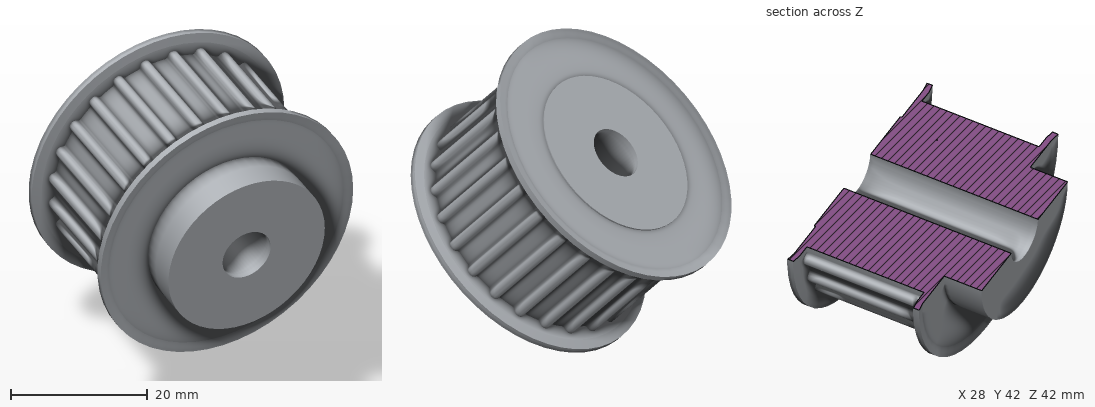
import cadquery as cq
import math


total_length = 28.0
rim_length = 22.0
flange_thickness = 1.0
flange_dish = 0.25

flange_radius = 21.0
flange_flat_radius = 19.5
hub_radius = 13.0
bore_radius = 4.0

tooth_count = 24
tip_diameter = 36.95
tip_radius = tip_diameter / 2
tooth_depth = 1.1
root_radius = tip_radius - tooth_depth
groove_root_width = 2.64
groove_flank_angle = math.radians(25)
root_fillet = 0.4
tip_fillet = 0.7
cutter_clearance = 0.5


def cylinder(radius, start, end):
    """Solid cylinder about X from x = start to x = end."""
    return cq.Workplane("YZ", origin=(start, 0, 0)).circle(radius).extrude(end - start)


def groove_cutter(start, end):
    """Trapezoidal groove on the +Y side, with the root circle as its curved floor."""
    half_root = groove_root_width / 2
    root_y = math.sqrt(root_radius**2 - half_root**2)
    outer_y = tip_radius + cutter_clearance
    half_outer = half_root + (outer_y - root_y) * math.tan(groove_flank_angle)
    return (
        cq.Workplane("YZ", origin=(start, 0, 0))
        .moveTo(root_y, -half_root)
        .threePointArc((root_radius, 0), (root_y, half_root))
        .lineTo(outer_y, half_outer)
        .lineTo(outer_y, -half_outer)
        .close()
        .extrude(end - start)
    )


def distance_from_axis(edge):
    """Radial distance of an edge parallel to X from the pulley axis."""
    middle = edge.Center()
    return math.hypot(middle.y, middle.z)


def toothed_rim(start, end):
    """Cylinder with evenly spaced grooves, rounded at the groove corners and tooth tips."""
    rim = cylinder(tip_radius, start, end)
    cutter = groove_cutter(start, end)
    for index in range(tooth_count):
        angle = index * 360 / tooth_count
        rim = rim.cut(cutter.rotate((0, 0, 0), (1, 0, 0), angle))
    middle_radius = (tip_radius + root_radius) / 2
    rim = rim.edges("|X").filter(lambda edge: distance_from_axis(edge) < middle_radius).fillet(root_fillet)
    return rim.edges("|X").filter(lambda edge: distance_from_axis(edge) > middle_radius).fillet(tip_fillet)


def flange(rim_face, inward):
    """Dished disc whose outer rim edge lies at x = rim_face; inward is +1 or -1 along X."""
    outer_flat = rim_face + inward * flange_dish
    inner_rim = rim_face + inward * flange_thickness
    inner_flat = outer_flat + inward * flange_thickness
    half_section = [
        (outer_flat, 0),
        (outer_flat, flange_flat_radius),
        (rim_face, flange_radius),
        (inner_rim, flange_radius),
        (inner_flat, flange_flat_radius),
        (inner_flat, 0),
    ]
    return cq.Workplane("XY").polyline(half_section).close().revolve(360, (0, 0, 0), (1, 0, 0))


rim = toothed_rim(flange_dish, rim_length - flange_dish)
hub = cylinder(hub_radius, 0, total_length)
bore = cylinder(bore_radius, 0, total_length)
flanges = flange(0, 1).union(flange(rim_length, -1))

result = rim.union(flanges).union(hub).cut(bore)